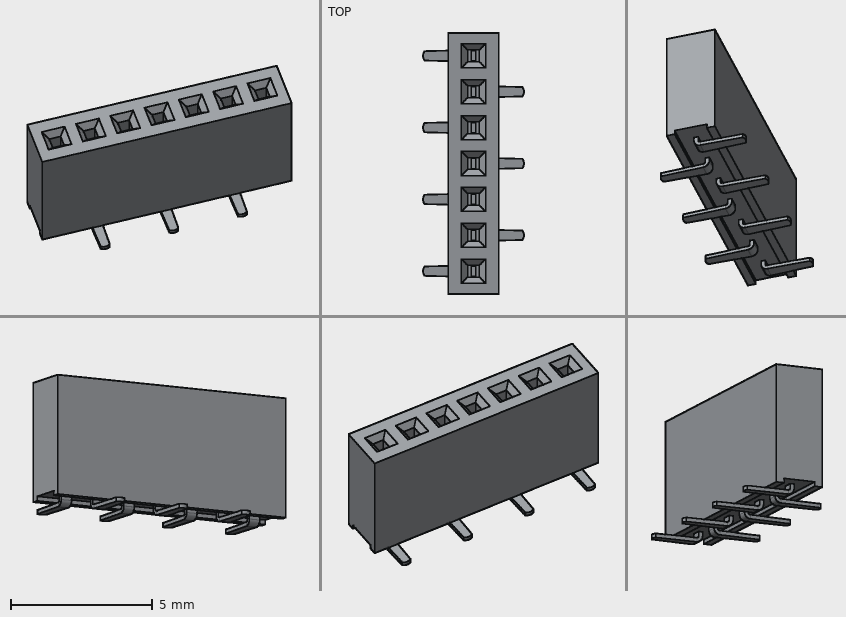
import cadquery as cq
import math

pin_count = 7
pitch = 1.27

body_width = 1.8
end_margin = 0.175
body_length = pin_count * pitch + 2 * end_margin
body_bottom = 0.23
body_top = 4.53
channel_width = 1.2
channel_depth = 0.16
channel_top = body_bottom + channel_depth

funnel_mouth = 0.85
shaft_width = 0.42
funnel_depth = 0.22
socket_depth = (body_top - body_bottom) / 2
shaft_floor = body_top - socket_depth

contact_thickness = 0.15
contact_width = 0.42
tip_width = 0.34
tip_bulge = 0.06
blade_width = 0.36
blade_rise = 0.1
overall_width = 3.58
foot_reach = overall_width / 2
bend_inner_radius = 0.08
bend_outer_radius = bend_inner_radius + contact_thickness


def make_body():
    """Rectangular block with a full-length channel along its underside."""
    block = cq.Workplane("XY").workplane(offset=body_bottom).rect(body_width, body_length)
    block = block.extrude(body_top - body_bottom)
    channel = cq.Workplane("XY").workplane(offset=body_bottom).rect(channel_width, body_length)
    return block.cut(channel.extrude(channel_depth))


def make_socket(y):
    """Funnel and shaft to remove around one contact position."""
    mouth = cq.Workplane("XY").workplane(offset=body_top).center(0, y)
    funnel = mouth.rect(funnel_mouth, funnel_mouth)
    funnel = funnel.workplane(offset=-funnel_depth).rect(shaft_width, shaft_width).loft(ruled=True)
    shaft = cq.Workplane("XY").workplane(offset=shaft_floor).center(0, y)
    shaft = shaft.rect(shaft_width, shaft_width).extrude(socket_depth)
    return funnel.union(shaft)


def make_blade(y):
    """End of the contact standing up from the floor of its socket."""
    blade = cq.Workplane("XY").workplane(offset=shaft_floor).center(0, y)
    return blade.rect(contact_thickness, blade_width).extrude(blade_rise)


def make_contact(y, side):
    """Stem below the body, bent into a tapered foot; side is -1 for -X and +1 for +X."""
    half_thickness = contact_thickness / 2
    bend_x = -half_thickness - bend_inner_radius
    bend_z = bend_outer_radius
    diagonal = math.sqrt(0.5)
    inner_mid = (bend_x + bend_inner_radius * diagonal, bend_z - bend_inner_radius * diagonal)
    outer_mid = (bend_x + bend_outer_radius * diagonal, bend_z - bend_outer_radius * diagonal)
    profile = (
        cq.Workplane("XZ")
        .moveTo(-foot_reach, 0)
        .lineTo(bend_x, 0)
        .threePointArc(outer_mid, (half_thickness, bend_z))
        .lineTo(half_thickness, channel_top)
        .lineTo(-half_thickness, channel_top)
        .lineTo(-half_thickness, bend_z)
        .threePointArc(inner_mid, (bend_x, contact_thickness))
        .lineTo(-foot_reach, contact_thickness)
        .close()
        .extrude(contact_width / 2, both=True)
    )
    tip_start = -foot_reach + tip_bulge
    outline = (
        cq.Workplane("XY")
        .moveTo(half_thickness, -contact_width / 2)
        .lineTo(half_thickness, contact_width / 2)
        .lineTo(bend_x, contact_width / 2)
        .lineTo(tip_start, tip_width / 2)
        .threePointArc((-foot_reach, 0), (tip_start, -tip_width / 2))
        .lineTo(bend_x, -contact_width / 2)
        .close()
        .extrude(channel_top)
    )
    contact = profile.intersect(outline)
    if side > 0:
        contact = contact.mirror("YZ")
    return contact.translate((0, y, 0))


result = make_body()
for index in range(pin_count):
    contact_y = (index - (pin_count - 1) / 2) * pitch
    foot_side = -1 if index % 2 == 0 else 1
    result = result.cut(make_socket(contact_y))
    result = result.union(make_blade(contact_y))
    result = result.union(make_contact(contact_y, foot_side))